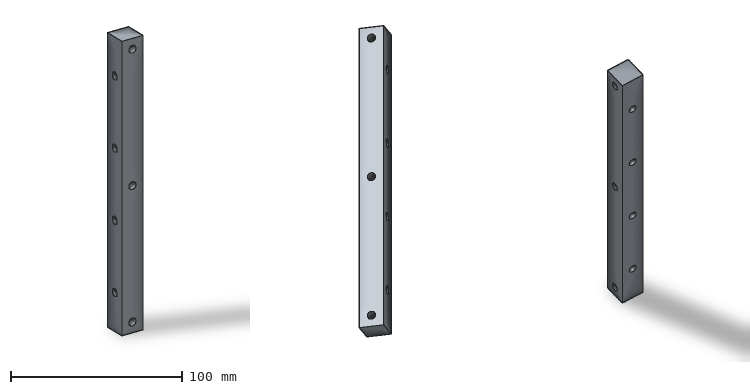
import cadquery as cq

length = 189.0
width = 15.0
hole_diameter = 5.0

y_hole_count = 4
y_hole_spacing = 46.3

x_hole_count = 3
x_hole_end_distance = 7.0
x_hole_spacing = (length - 2 * x_hole_end_distance) / (x_hole_count - 1)


def drill_row(body, face, count, spacing):
    """Drill a centred row of through holes along Z into the given face."""
    heights = [(i - (count - 1) / 2) * spacing for i in range(count)]
    points = [(0, height) for height in heights]
    return body.faces(face).workplane(origin=(0, 0, 0)).pushPoints(points).hole(hole_diameter)


bar = cq.Workplane("XY").box(width, width, length)
bar = drill_row(bar, "<Y", y_hole_count, y_hole_spacing)
result = drill_row(bar, "<X", x_hole_count, x_hole_spacing)